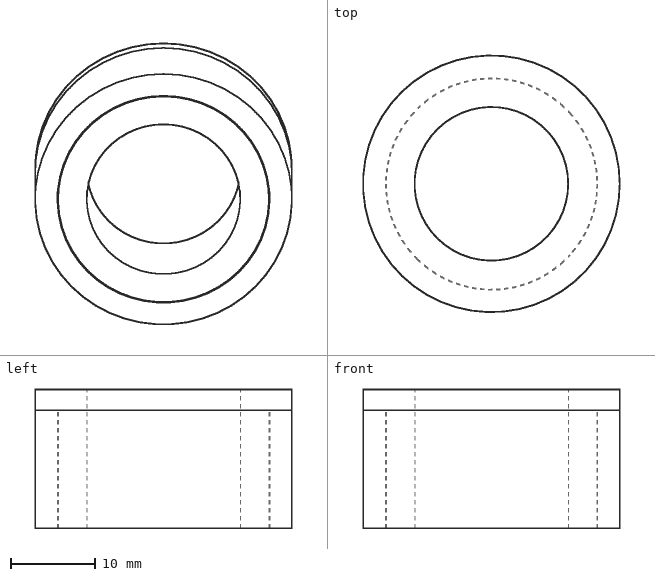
import cadquery as cq

outer_diameter = 30.5
bore_diameter = 18.2
total_height = 16.5
flange_thickness = 2.5
sleeve_diameter = 25.0
housing_bore_diameter = 25.2

housing_height = total_height - flange_thickness


def make_housing():
    """Plain outer ring that surrounds the sleeve and carries the flange."""
    return (
        cq.Workplane("XY")
        .circle(outer_diameter / 2)
        .circle(housing_bore_diameter / 2)
        .extrude(housing_height)
    )


def make_flanged_bushing():
    """Flange resting on the housing, with a sleeve running down to its base."""
    sleeve = cq.Workplane("XY").circle(sleeve_diameter / 2).extrude(total_height)
    flange = (
        cq.Workplane("XY")
        .workplane(offset=housing_height)
        .circle(outer_diameter / 2)
        .extrude(flange_thickness)
    )
    bore = cq.Workplane("XY").circle(bore_diameter / 2).extrude(total_height)
    return sleeve.union(flange).cut(bore)


housing = make_housing()
flanged_bushing = make_flanged_bushing()

result = cq.Compound.makeCompound([housing.val(), flanged_bushing.solids().val()])